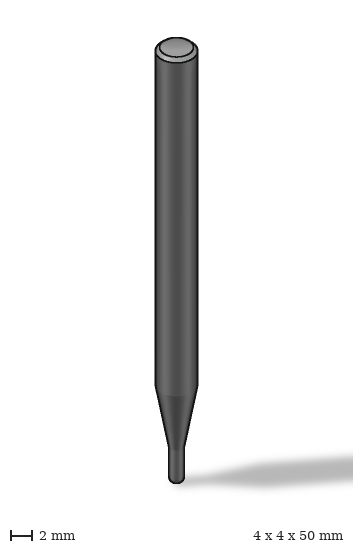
import cadquery as cq
import math

total_length = 50.0
shank_radius = 2.0
shank_chamfer = 0.4
tip_radius = 0.75
neck_top = 4.15
cone_top = 11.25

arc_offset = tip_radius * math.sin(math.radians(45))
profile = (
    cq.Workplane("XZ")
    .moveTo(0, 0)
    .threePointArc((arc_offset, tip_radius - arc_offset), (tip_radius, tip_radius))
    .lineTo(tip_radius, neck_top)
    .lineTo(shank_radius, cone_top)
    .lineTo(shank_radius, total_length - shank_chamfer)
    .lineTo(shank_radius - shank_chamfer, total_length)
    .lineTo(0, total_length)
    .close()
)

result = profile.revolve(360, (0, 0, 0), (0, 1, 0))